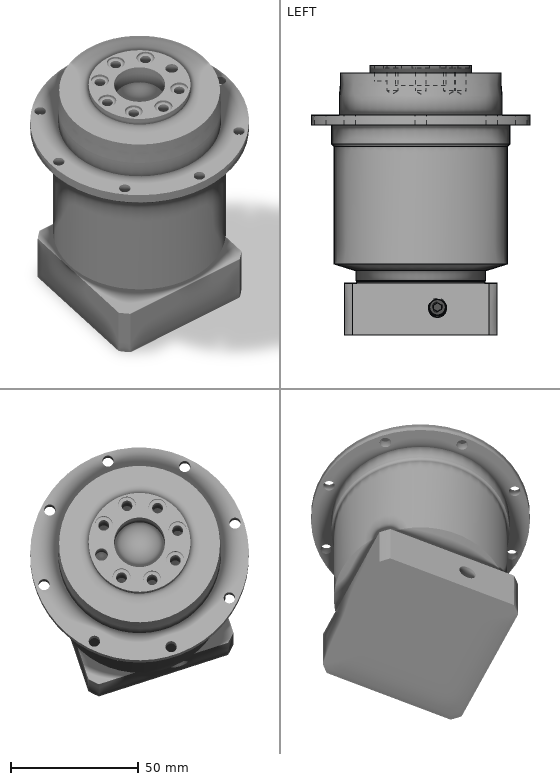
import cadquery as cq
import math

TOTAL_HEIGHT = 106.0
ADAPTER_HEIGHT = 20.5
BOSS_HEIGHT = 0.6
NECK_TOP = 25.3
BODY_BOTTOM = 28.0
SHOULDER_BOTTOM = 74.1
FLANGE_BOTTOM = 82.6
FLANGE_TOP = 86.5
TAPER_START = 93.6
PILOT_TOP = 103.0
NECK_BOTTOM = ADAPTER_HEIGHT + BOSS_HEIGHT

OUTPUT_DIA = 40.0
PILOT_DIA = 64.0
PILOT_TOP_DIA = 63.2
FLANGE_DIA = 86.0
SHOULDER_DIA = 70.0
BODY_DIA = 68.0
NECK_DIA = 51.0
NECK_CHAMFER = 0.3
SHOULDER_CHAMFER = (SHOULDER_DIA - BODY_DIA) / 2

BORE_DIA = 20.0
BORE_DEPTH = 8.0
OUTPUT_CIRCLE_DIA = 31.5
OUTPUT_POSITIONS = 8
DOWEL_POSITION = 2
TAPPED_DIA = 4.2
TAPPED_DEPTH = 10.0
DRILL_POINT_ANGLE = 118.0
COUNTERBORE_DIA = 7.0
COUNTERBORE_DEPTH = 1.0
DOWEL_DIA = 5.0
DOWEL_DEPTH = 6.0

FLANGE_HOLES = 8
FLANGE_HOLE_DIA = 4.5
FLANGE_CIRCLE_DIA = 79.0

ADAPTER_WIDTH = 60.0
ADAPTER_CORNER_DIA = 80.3
BOSS_DIA = NECK_DIA - 2 * NECK_CHAMFER

ACCESS_DIA = 7.0
ACCESS_DEPTH = 12.7
ACCESS_Y = -6.6
ACCESS_Z = 10.5
SCREW_Z = 11.0
SCREW_HEAD_X = ACCESS_DEPTH - ADAPTER_WIDTH / 2
SCREW_HEAD_DIA = 7.0
SCREW_HEAD_HEIGHT = 4.0
SCREW_HEAD_CHAMFER = 0.4
SCREW_SHANK_DIA = 4.0
SCREW_LENGTH = 15.9
SOCKET_ACROSS_FLATS = 3.0
SOCKET_DEPTH = 2.0


def circle_points(diameter, count):
    """Evenly spaced points on a circle, anticlockwise from +X."""
    step = 2 * math.pi / count
    return [
        (diameter / 2 * math.cos(i * step), diameter / 2 * math.sin(i * step))
        for i in range(count)
    ]


def hole_cutter(diameter, top, bottom):
    """Vertical cylinder centred on the Z axis."""
    return cq.Workplane("XY").workplane(offset=bottom).circle(diameter / 2).extrude(top - bottom)


def tapped_hole_cutter():
    """Blind drilled hole with a conical end and a shallow counterbore."""
    radius = TAPPED_DIA / 2
    point_height = radius / math.tan(math.radians(DRILL_POINT_ANGLE / 2))
    drilled_bottom = TOTAL_HEIGHT - TAPPED_DEPTH
    counterbore_floor = TOTAL_HEIGHT - COUNTERBORE_DEPTH
    return (
        cq.Workplane("XZ")
        .moveTo(0, drilled_bottom - point_height)
        .lineTo(radius, drilled_bottom)
        .lineTo(radius, counterbore_floor)
        .lineTo(COUNTERBORE_DIA / 2, counterbore_floor)
        .lineTo(COUNTERBORE_DIA / 2, TOTAL_HEIGHT)
        .lineTo(0, TOTAL_HEIGHT)
        .close()
        .revolve(360, (0, 0), (0, 1))
    )


def gearbox_blank():
    """Turned outline of the gearbox, from the neck up to the output face."""
    outline = [
        (0, NECK_BOTTOM),
        (NECK_DIA / 2 - NECK_CHAMFER, NECK_BOTTOM),
        (NECK_DIA / 2, NECK_BOTTOM + NECK_CHAMFER),
        (NECK_DIA / 2, NECK_TOP),
        (BODY_DIA / 2, BODY_BOTTOM),
        (BODY_DIA / 2, SHOULDER_BOTTOM),
        (SHOULDER_DIA / 2, SHOULDER_BOTTOM + SHOULDER_CHAMFER),
        (SHOULDER_DIA / 2, FLANGE_BOTTOM),
        (FLANGE_DIA / 2, FLANGE_BOTTOM),
        (FLANGE_DIA / 2, FLANGE_TOP),
        (PILOT_DIA / 2, FLANGE_TOP),
        (PILOT_DIA / 2, TAPER_START),
        (PILOT_TOP_DIA / 2, PILOT_TOP),
        (OUTPUT_DIA / 2, PILOT_TOP),
        (OUTPUT_DIA / 2, TOTAL_HEIGHT),
        (0, TOTAL_HEIGHT),
    ]
    return cq.Workplane("XZ").polyline(outline).close().revolve(360, (0, 0), (0, 1))


def make_gearbox():
    body = gearbox_blank()
    body = body.cut(hole_cutter(BORE_DIA, TOTAL_HEIGHT, TOTAL_HEIGHT - BORE_DEPTH))

    tapped_hole = tapped_hole_cutter()
    dowel_hole = hole_cutter(DOWEL_DIA, TOTAL_HEIGHT, TOTAL_HEIGHT - DOWEL_DEPTH)
    for position, (x, y) in enumerate(circle_points(OUTPUT_CIRCLE_DIA, OUTPUT_POSITIONS)):
        cutter = dowel_hole if position == DOWEL_POSITION else tapped_hole
        body = body.cut(cutter.translate((x, y, 0)))

    flange_hole = hole_cutter(FLANGE_HOLE_DIA, FLANGE_TOP, FLANGE_BOTTOM)
    for x, y in circle_points(FLANGE_CIRCLE_DIA, FLANGE_HOLES):
        body = body.cut(flange_hole.translate((x, y, 0)))
    return body


def screw_workplane(x, z):
    """Plane facing +X, centred on the access hole's Y position."""
    return cq.Workplane("YZ", origin=(x, ACCESS_Y, z))


def make_screw_envelope():
    """Head and shank of the clamp screw as plain cylinders."""
    head = screw_workplane(SCREW_HEAD_X, SCREW_Z).circle(SCREW_HEAD_DIA / 2).extrude(SCREW_HEAD_HEIGHT)
    shank = screw_workplane(SCREW_HEAD_X, SCREW_Z).circle(SCREW_SHANK_DIA / 2).extrude(SCREW_LENGTH)
    return head.union(shank)


def make_clamp_screw():
    """Socket head screw; two corners of the hexagon point up and down."""
    across_corners = SOCKET_ACROSS_FLATS / math.cos(math.pi / 6)
    socket = (
        screw_workplane(SCREW_HEAD_X, SCREW_Z)
        .transformed(rotate=(0, 0, 90))
        .polygon(6, across_corners)
        .extrude(SOCKET_DEPTH)
    )
    return make_screw_envelope().faces("<X").chamfer(SCREW_HEAD_CHAMFER).cut(socket)


def make_adapter():
    """Square block with turned corners, a locating boss and a seat for the screw."""
    block = cq.Workplane("XY").rect(ADAPTER_WIDTH, ADAPTER_WIDTH).extrude(ADAPTER_HEIGHT)
    block = block.intersect(hole_cutter(ADAPTER_CORNER_DIA, ADAPTER_HEIGHT, 0))
    block = block.union(hole_cutter(BOSS_DIA, NECK_BOTTOM, 0))
    access_hole = (
        screw_workplane(-ADAPTER_WIDTH / 2, ACCESS_Z).circle(ACCESS_DIA / 2).extrude(ACCESS_DEPTH)
    )
    return block.cut(access_hole).cut(make_screw_envelope())


gearbox = make_gearbox()
adapter = make_adapter()
clamp_screw = make_clamp_screw()

result = cq.Compound.makeCompound([gearbox.val(), adapter.val(), clamp_screw.val()])